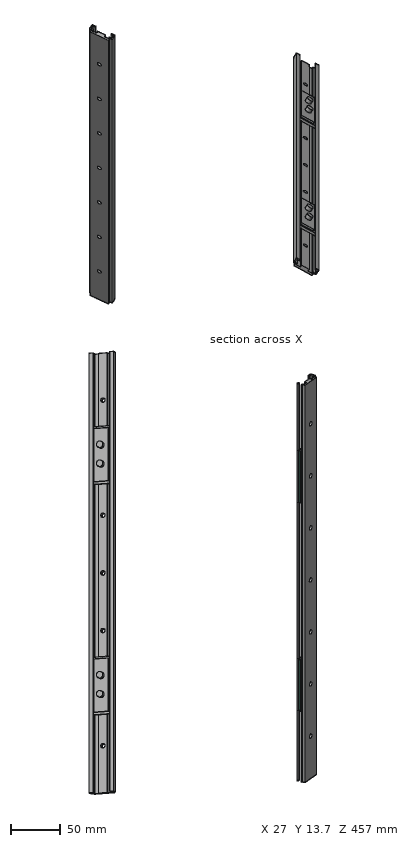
import cadquery as cq

rail_length = 457
rail_width = 27.0
rail_depth = 9.0
base_width = 21.5
base_depth = 2.7
edge_radius = 0.5
floor_thickness = 2.5
rib_width = 9.0
rib_depth = 4.5
wall_thickness = 1.5
lip_thickness = 1.5
mouth_width = 18.5
hole_diameter = 4.5
hole_pitch = 60.0
hole_count = 7

clearance = 0.25
slider_length = hole_pitch
neck_length = slider_length - 4.5
stud_diameter = 7.0
stud_pitch = 19.5
stud_length = 4.2
neck_width = 15.0
neck_rise = 0.5
carriage_shift = 2.5
carriage_spacing = 4 * hole_pitch

channel_width = rail_width - 2 * wall_thickness
slot_width = base_width - 2 * wall_thickness
lip_start = rail_depth - lip_thickness
slider_width = channel_width - 2 * clearance
slider_start = rib_depth + clearance
slider_end = lip_start - clearance
neck_end = rail_depth + neck_rise
middle = rail_length / 2


def block(width, length, y_start, y_end, z_center):
    """Box centred on X = 0 and on z_center, reaching from y_start to y_end."""
    return (
        cq.Workplane("XY")
        .box(width, y_end - y_start, length)
        .translate((0, (y_start + y_end) / 2, z_center))
    )


def make_rail():
    def part(width, y_start, y_end):
        return block(width, rail_length, y_start, y_end, middle)

    flanges = part(rail_width, base_depth, rail_depth).edges("|Z and <Y").fillet(edge_radius)
    outside = flanges.union(part(base_width, 0, base_depth))
    channel = (
        part(channel_width, base_depth + wall_thickness, lip_start)
        .union(part(slot_width, floor_thickness, lip_start))
        .union(part(mouth_width, lip_start, rail_depth))
    )
    rib = part(rib_width, floor_thickness / 2, rib_depth)
    first_hole = -(hole_count - 1) / 2 * hole_pitch
    holes = (
        cq.Workplane("XZ", origin=(0, 0, middle))
        .pushPoints([(0, first_hole + i * hole_pitch) for i in range(hole_count)])
        .circle(hole_diameter / 2)
        .extrude(-rail_depth)
    )
    return outside.cut(channel).union(rib).cut(holes)


def make_carriage(z_center):
    slider = block(slider_width, slider_length, slider_start, slider_end, z_center)
    neck = block(neck_width, neck_length, slider_end, neck_end, z_center)
    studs = (
        cq.Workplane("XZ", origin=(0, neck_end, z_center))
        .pushPoints([(0, -stud_pitch / 2), (0, stud_pitch / 2)])
        .circle(stud_diameter / 2)
        .extrude(-stud_length)
    )
    return slider.union(neck).union(studs)


rail = make_rail()
carriages = [
    make_carriage(middle + carriage_shift + side * carriage_spacing / 2) for side in (-1, 1)
]

result = cq.Compound.makeCompound([rail.val(), *[carriage.val() for carriage in carriages]])